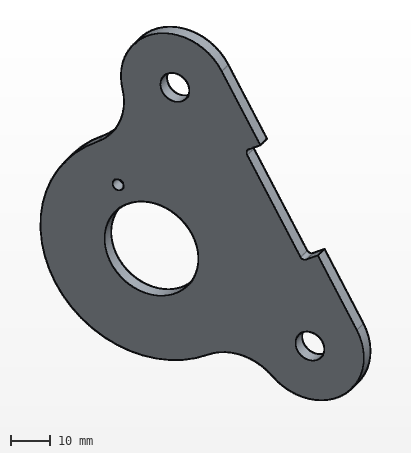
import cadquery as cq
import math

thickness = 4.0
axis_tilt = 30

hub_radius = 30.8
bore_radius = 13.0
ear_radius = 15.0
ear_hole_radius = 4.0
ear_forward = 29.1
ear_side = 37.5
waist_radius = 15.0

pin_hole_radius = 1.5
pin_hole_side = 18.5

notch_width = 31.9
notch_depth = 4.9
notch_corner_radius = 1.1

front_edge = ear_forward + ear_radius


def waist_centre():
    """Centre of the +side concave arc, tangent to both the hub and the ear."""
    hub_reach = hub_radius + waist_radius
    ear_reach = ear_radius + waist_radius
    spacing = math.hypot(ear_forward, ear_side)
    along = (hub_reach**2 - ear_reach**2 + spacing**2) / (2 * spacing)
    across = math.sqrt(hub_reach**2 - along**2)
    forward, side = ear_forward / spacing, ear_side / spacing
    return along * forward - across * side, along * side + across * forward


def toward(start, end, distance):
    """Point at a given distance from start, heading for end."""
    length = math.dist(start, end)
    return tuple(s + (e - s) * distance / length for s, e in zip(start, end))


def mirrored(point):
    return point[0], -point[1]


def plate():
    hub = (0, 0)
    ear = (ear_forward, ear_side)
    waist = waist_centre()
    ear_front = (front_edge, ear_side)
    ear_end = toward(ear, waist, ear_radius)
    hub_end = toward(hub, waist, hub_radius)

    front_angle = math.atan2(waist[1] - ear[1], waist[0] - ear[0]) % (2 * math.pi) / 2
    ear_mid = (
        ear[0] + ear_radius * math.cos(front_angle),
        ear[1] + ear_radius * math.sin(front_angle),
    )
    chord_mid = ((ear_end[0] + hub_end[0]) / 2, (ear_end[1] + hub_end[1]) / 2)
    waist_mid = toward(waist, chord_mid, waist_radius)

    return (
        cq.Workplane("XZ")
        .moveTo(*ear_front)
        .threePointArc(ear_mid, ear_end)
        .threePointArc(waist_mid, hub_end)
        .threePointArc((-hub_radius, 0), mirrored(hub_end))
        .threePointArc(mirrored(waist_mid), mirrored(ear_end))
        .threePointArc(mirrored(ear_mid), mirrored(ear_front))
        .close()
        .extrude(thickness)
    )


def round_cutter(radius, centres):
    return cq.Workplane("XZ").pushPoints(centres).circle(radius).extrude(thickness)


def notch_cutter():
    return (
        cq.Workplane("XZ")
        .center(front_edge, 0)
        .rect(2 * notch_depth, notch_width)
        .extrude(thickness)
        .edges("|Y and <X")
        .fillet(notch_corner_radius)
    )


result = (
    plate()
    .cut(round_cutter(bore_radius, [(0, 0)]))
    .cut(round_cutter(ear_hole_radius, [(ear_forward, ear_side), (ear_forward, -ear_side)]))
    .cut(round_cutter(pin_hole_radius, [(0, pin_hole_side)]))
    .cut(notch_cutter())
    .rotate((0, 0, 0), (0, 1, 0), -axis_tilt)
)